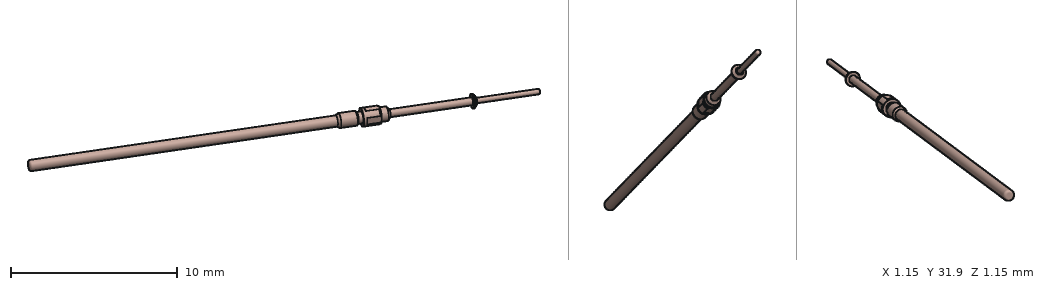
import cadquery as cq

OVERALL_LENGTH = 31.9

ROD_DIAMETER = 0.7
SLEEVE_DIAMETER = 0.92
NECK_DIAMETER = 0.75
COLLAR_DIAMETER = 0.9
TUBE_DIAMETER = 0.5
FLANGE_DIAMETER = 0.9
FLANGE_NOSE_DIAMETER = 0.5
PIN_DIAMETER = 0.35

ROD_LENGTH = 19.2
SLEEVE_LENGTH = 1.3
NECK_LENGTH = 0.27
NUT_LENGTH = 1.12
COLLAR_LENGTH = 0.63
TUBE_LENGTH = 5.13
FLANGE_RIM_LENGTH = 0.1
FLANGE_CONE_LENGTH = 0.17

NUT_DIAMETER = 1.15
NUT_ACROSS_FLATS = 1.06
NUT_FLAT_COUNT = 4
NUT_BASE_RIM_LENGTH = 0.2
NUT_TIP_BEVEL_LENGTH = 0.1
NUT_TIP_BEVEL_DEPTH = 0.035

ROD_END_ROUND = 0.16
PIN_END_ROUND = 0.12
SLEEVE_BASE_BEVEL_LENGTH = 0.18
SLEEVE_TIP_BEVEL_LENGTH = 0.1
COLLAR_BEVEL_LENGTH = 0.18

SLEEVE_START = ROD_LENGTH
NECK_START = SLEEVE_START + SLEEVE_LENGTH
NUT_START = NECK_START + NECK_LENGTH
COLLAR_START = NUT_START + NUT_LENGTH
TUBE_START = COLLAR_START + COLLAR_LENGTH
FLANGE_START = TUBE_START + TUBE_LENGTH
CONE_START = FLANGE_START + FLANGE_RIM_LENGTH
PIN_START = CONE_START + FLANGE_CONE_LENGTH


def turned(points):
    """Revolve (diameter, station) points about the Y axis, closing the profile on the axis."""
    first_station = points[0][1]
    last_station = points[-1][1]
    outline = [(0, first_station)]
    outline += [(diameter / 2, station) for diameter, station in points]
    outline.append((0, last_station))
    return cq.Workplane("XY").polyline(outline).close().revolve(360, (0, 0, 0), (0, 1, 0))


def cylinder(diameter, start, end):
    return turned([(diameter, start), (diameter, end)])


def rod():
    return cylinder(ROD_DIAMETER, 0, SLEEVE_START).faces("<Y").edges().fillet(ROD_END_ROUND)


def sleeve():
    """Sleeve that tapers down to the rod at its base and to the neck at the other end."""
    return turned([
        (ROD_DIAMETER, SLEEVE_START),
        (SLEEVE_DIAMETER, SLEEVE_START + SLEEVE_BASE_BEVEL_LENGTH),
        (SLEEVE_DIAMETER, NECK_START - SLEEVE_TIP_BEVEL_LENGTH),
        (NECK_DIAMETER, NECK_START),
    ])


def nut():
    """Round nut with flats facing +X, -X, +Z and -Z, with a shallow bevel at its tip end."""
    body = turned([
        (NUT_DIAMETER, NUT_START),
        (NUT_DIAMETER, COLLAR_START - NUT_TIP_BEVEL_LENGTH),
        (NUT_DIAMETER - 2 * NUT_TIP_BEVEL_DEPTH, COLLAR_START),
    ])
    flat_start = NUT_START + NUT_BASE_RIM_LENGTH
    flat_length = NUT_LENGTH - NUT_BASE_RIM_LENGTH
    cutter = cq.Workplane("XY").box(
        NUT_DIAMETER, flat_length, NUT_DIAMETER, centered=(True, False, False)
    ).translate((0, flat_start, NUT_ACROSS_FLATS / 2))
    for index in range(NUT_FLAT_COUNT):
        body = body.cut(cutter.rotate((0, 0, 0), (0, 1, 0), index * 360 / NUT_FLAT_COUNT))
    return body


def collar():
    """Collar that tapers down to the tube."""
    return turned([
        (COLLAR_DIAMETER, COLLAR_START),
        (COLLAR_DIAMETER, TUBE_START - COLLAR_BEVEL_LENGTH),
        (TUBE_DIAMETER, TUBE_START),
    ])


def flange():
    """Thin rim with a conical nose towards the pin."""
    return turned([
        (FLANGE_DIAMETER, FLANGE_START),
        (FLANGE_DIAMETER, CONE_START),
        (FLANGE_NOSE_DIAMETER, PIN_START),
    ])


def pin():
    return cylinder(PIN_DIAMETER, PIN_START, OVERALL_LENGTH).faces(">Y").edges().fillet(PIN_END_ROUND)


result = (
    rod()
    .union(sleeve())
    .union(cylinder(NECK_DIAMETER, NECK_START, NUT_START))
    .union(nut())
    .union(collar())
    .union(cylinder(TUBE_DIAMETER, TUBE_START, FLANGE_START))
    .union(flange())
    .union(pin())
)